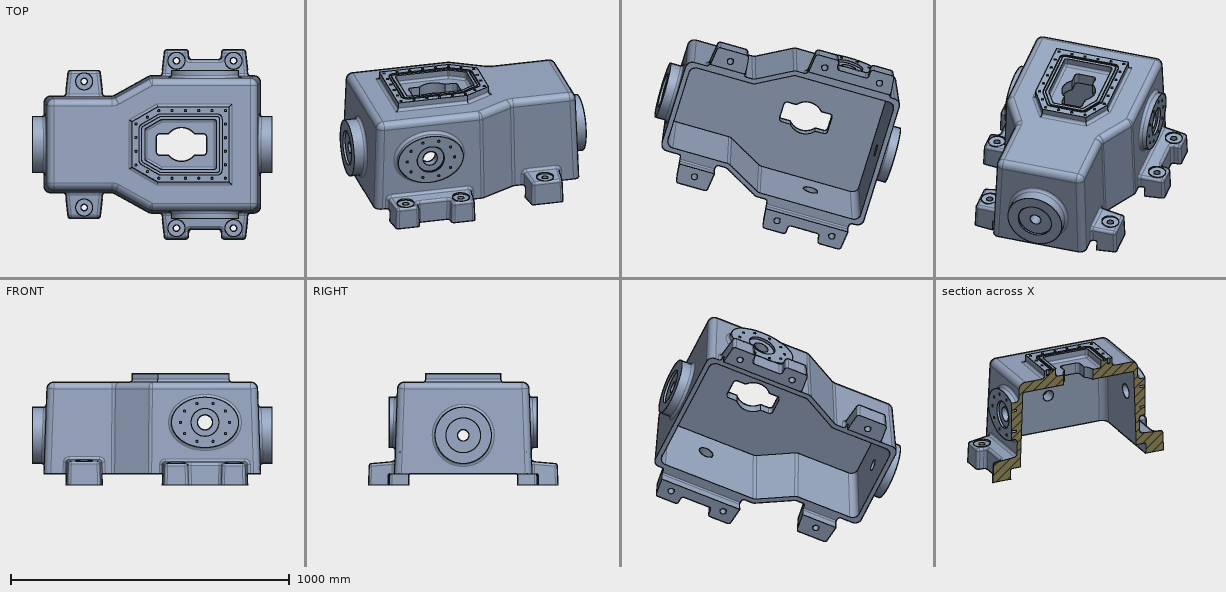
import cadquery as cq
import math


DRAFT = 2.0
SMALL_FILLET = 10.0
BODY_FILLET = 25.0

SEAM_BOX = (9, 9, 9)

FOOT_HEIGHT = 40.0
BODY_TOP = 370.0
BODY_HALF_LENGTH = 389.0
WALL = 17.0
ROOF = 40.0
WIDE_HALF = 247.0
NARROW_HALF = 174.0
SHOULDER_X = -9.0
SHOULDER_ANGLE = math.radians(29)

END_BOSS_REACH = 430.0
END_BOSS_Z = 179.0
END_BOSS_DIAMETER = 202.0
END_RECESS_DIAMETER = 125.0
END_RECESS_DEPTH = 9.0
END_BORE_DIAMETER = 40.0

SIDE_PAD_X = 189.0
SIDE_PAD_Z = 225.0
SIDE_PAD_REACH = 266.0
SIDE_PAD_LENGTH = 241.0
SIDE_PAD_HEIGHT = 181.0
SIDE_RECESS_DIAMETER = 100.0
SIDE_RECESS_DEPTH = 9.0
SIDE_BORE_DIAMETER = 53.0
SIDE_BOLT_OFFSETS = [(88.0, 0), (73.0, 40.0), (29.0, 68.0)]

COVER_TOP = 400.0
COVER_LEFT = -72.0
COVER_RIGHT = 276.0
COVER_HALF_WIDTH = 135.0
COVER_SHOULDER_X = 20.0
COVER_SHOULDER_ANGLE = math.radians(30)
POCKET_INSET = 46.0
POCKET_DEPTH = COVER_TOP - BODY_TOP
POCKET_FILLET = 9.0
GROOVE_INSET = 25.0
GROOVE_WIDTH = 9.5
GROOVE_DEPTH = 5.0
GROOVE_CORNER = 20.0
COVER_BOLT_INSET = 14.0
COVER_BOLT_GAPS = (2, 5, 5, 5, 2, 3)
BOLT_DIAMETER = 8.0
BOLT_DEPTH = 20.0

OPENING_X = 105.0
OPENING_LENGTH = 180.0
OPENING_WIDTH = 76.5
OPENING_CORNER = 12.0
OPENING_DIAMETER = 120.0

FOOT_GAP = 21.5
UNDERCUT_FILLET = 5.0
FOOT_SIDE_SLOPE = math.tan(math.radians(6.5))
FOOT_TOP_SLOPE = math.tan(math.radians(5))
FOOT_BOLT_DIAMETER = 22.0
SPOTFACE_DIAMETER = 61.0
SPOTFACE_DROP = 8.0
SINGLE_FOOT_X = -244.0
SINGLE_FOOT_HALF = 58.0
SINGLE_FOOT_REACH = 266.0
SINGLE_FOOT_TOP = 93.0
SINGLE_BOLT_Y = 226.0
DOUBLE_FOOT_X = 189.0
DOUBLE_FOOT_HALF = 145.0
DOUBLE_FOOT_REACH = 680.0 / 2
DOUBLE_FOOT_TOP = 85.0
DOUBLE_BOLT_Y = 300.0
DOUBLE_BOLT_SPREAD = 102.0
NOTCH_END_HALF = 60.0
NOTCH_FLOOR_HALF = 58.0
NOTCH_Y = 305.0


def mirrored_outline(half_outline):
    """Close a half outline over the X axis; its points run from -X to +X on the +Y side."""
    return half_outline + [(x, -y) for x, y in reversed(half_outline)]


def body_outline(inset):
    """Plan outline of the body with every side moved inwards by the inset."""
    corner_shift = inset * math.tan(SHOULDER_ANGLE / 2)
    shoulder_run = (WIDE_HALF - NARROW_HALF) / math.tan(SHOULDER_ANGLE)
    return mirrored_outline([
        (-BODY_HALF_LENGTH + inset, NARROW_HALF - inset),
        (SHOULDER_X - shoulder_run + corner_shift, NARROW_HALF - inset),
        (SHOULDER_X + corner_shift, WIDE_HALF - inset),
        (BODY_HALF_LENGTH - inset, WIDE_HALF - inset),
    ])


def drafted_block(wall_inset, top_z):
    """Block with the body's drafted sides moved inwards, from the body's underside to a top."""
    height = top_z - FOOT_HEIGHT
    top_inset = wall_inset + height * math.tan(math.radians(DRAFT))
    return (
        cq.Workplane("XY", origin=(0, 0, FOOT_HEIGHT))
        .polyline(body_outline(wall_inset))
        .close()
        .workplane(offset=height)
        .polyline(body_outline(top_inset))
        .close()
        .loft(ruled=True)
    )


def make_body():
    """Drafted housing: a wide part, two slanted shoulders and a narrower part."""
    return drafted_block(0, BODY_TOP).edges(">Z or (not #Z)").fillet(BODY_FILLET)


def make_cavity():
    """Hollow under the roof, open at the underside of the body."""
    return drafted_block(WALL, BODY_TOP - ROOF).edges("not #Z").fillet(BODY_FILLET)


def cover_outline(inset):
    """Plan outline of the cover pad with every side moved inwards by the inset."""
    shoulder_run = COVER_SHOULDER_X - COVER_LEFT
    left_half = COVER_HALF_WIDTH - shoulder_run * math.tan(COVER_SHOULDER_ANGLE)
    upper_shift = inset * math.tan(COVER_SHOULDER_ANGLE / 2)
    lower_shift = inset * math.tan((math.pi / 2 - COVER_SHOULDER_ANGLE) / 2)
    return mirrored_outline([
        (COVER_LEFT + inset, left_half - lower_shift),
        (COVER_SHOULDER_X + upper_shift, COVER_HALF_WIDTH - inset),
        (COVER_RIGHT - inset, COVER_HALF_WIDTH - inset),
    ])


def cover_prism(inset, bottom_z, height):
    """Upright prism on the inset cover outline."""
    return (
        cq.Workplane("XY", origin=(0, 0, bottom_z))
        .polyline(cover_outline(inset))
        .close()
        .extrude(height)
    )


def notch_outline(growth):
    """Plan outline of the notch, open past the foot's end, with every side moved outwards."""
    open_y = DOUBLE_FOOT_REACH + 9
    return [
        (-NOTCH_END_HALF - growth, open_y),
        (-NOTCH_FLOOR_HALF - growth, NOTCH_Y - growth),
        (NOTCH_FLOOR_HALF + growth, NOTCH_Y - growth),
        (NOTCH_END_HALF + growth, open_y),
    ]


def make_notch():
    """Drafted notch that splits the end of a double foot into two lugs."""
    height = BODY_TOP / 2
    notch = (
        cq.Workplane("XY", origin=(DOUBLE_FOOT_X, 0, 0))
        .polyline(notch_outline(0))
        .close()
        .workplane(offset=height)
        .polyline(notch_outline(height * math.tan(math.radians(DRAFT))))
        .close()
        .loft(ruled=True)
    )
    return notch.faces("<Y").edges("not #Z").fillet(SMALL_FILLET)


def make_foot(center_x, end_half, reach, wall_y, top_at_wall, notched):
    """Foot on the +Y side, running from inside the body out to its free end."""
    root_y = wall_y - BODY_FILLET
    root_half = end_half + (reach - root_y) * FOOT_SIDE_SLOPE
    outline = [(root_half, root_y), (end_half, reach), (-end_half, reach), (-root_half, root_y)]
    foot = (
        cq.Workplane("XY", origin=(center_x, 0, 0))
        .polyline(outline)
        .close()
        .extrude(BODY_TOP / 2, taper=DRAFT)
    )
    sloped_profile = [
        (0, 0),
        (reach, 0),
        (reach, top_at_wall - (reach - wall_y) * FOOT_TOP_SLOPE),
        (0, top_at_wall + wall_y * FOOT_TOP_SLOPE),
    ]
    sloped_envelope = (
        cq.Workplane("YZ", origin=(center_x, 0, 0))
        .polyline(sloped_profile)
        .close()
        .extrude(root_half, both=True)
    )
    foot = foot.intersect(sloped_envelope)
    if notched:
        foot = foot.cut(make_notch())
    end_corners = cq.selectors.BoxSelector(
        (-END_BOSS_REACH, reach - 9, 9), (END_BOSS_REACH, reach + 9, BODY_TOP)
    )
    rounded_edges = foot.edges(end_corners).edges("not #Z").add(foot.faces(">Z").edges())
    foot = rounded_edges.fillet(SMALL_FILLET)
    undercut = (
        cq.Workplane("XY", origin=(center_x, 0, 0))
        .rect(3 * root_half, 2 * (wall_y + FOOT_GAP))
        .extrude(FOOT_HEIGHT)
        .edges("|X and >Z")
        .fillet(UNDERCUT_FILLET)
    )
    return foot.cut(undercut)


def make_end_bosses():
    """One long cylinder that forms the bosses on both ends."""
    return (
        cq.Workplane("YZ", origin=(0, 0, END_BOSS_Z))
        .circle(END_BOSS_DIAMETER / 2)
        .extrude(END_BOSS_REACH, both=True)
    )


def make_side_pads():
    """One long oval prism that forms the pads on both sides."""
    return (
        cq.Workplane("XZ", origin=(SIDE_PAD_X, 0, SIDE_PAD_Z))
        .ellipse(SIDE_PAD_LENGTH / 2, SIDE_PAD_HEIGHT / 2)
        .extrude(SIDE_PAD_REACH, both=True)
    )


def blend_seam(part, center, size):
    """Round the edges whose midpoints lie in a box of the given centre and size."""
    low = tuple(c - s / 2 for c, s in zip(center, size))
    high = tuple(c + s / 2 for c, s in zip(center, size))
    return part.edges(cq.selectors.BoxSelector(low, high)).fillet(SMALL_FILLET)


def blend_all_seams(part):
    """Round every seam between the body and the parts standing on it."""
    for side in (-1, 1):
        for center_x, end_half, wall_y, top_at_wall in (
            (SINGLE_FOOT_X, SINGLE_FOOT_HALF, NARROW_HALF, SINGLE_FOOT_TOP),
            (DOUBLE_FOOT_X, DOUBLE_FOOT_HALF, WIDE_HALF, DOUBLE_FOOT_TOP),
        ):
            center = (center_x, side * wall_y, top_at_wall)
            part = blend_seam(part, center, (2.4 * end_half, 9, top_at_wall))
        part = blend_seam(part, (side * (BODY_HALF_LENGTH - 5.0), 0, END_BOSS_Z), SEAM_BOX)
        part = blend_seam(part, (SIDE_PAD_X, side * (WIDE_HALF - 6.0), SIDE_PAD_Z), SEAM_BOX)
    cover_center = ((COVER_LEFT + COVER_RIGHT) / 2, 0, BODY_TOP)
    cover_size = (COVER_RIGHT - COVER_LEFT + 1.0, 2 * COVER_HALF_WIDTH + 1.0, 1.0)
    return blend_seam(part, cover_center, cover_size)


def holes_at(plane, points, diameter, depth):
    """Cylinders starting at the points and running along the plane normal."""
    holes = [
        cq.Workplane(plane, origin=point).circle(diameter / 2).extrude(depth).val()
        for point in points
    ]
    return cq.Workplane(obj=cq.Compound.makeCompound(holes))


def bored_ends():
    """Through bore along X with a shallow recess in each end boss."""
    bore = holes_at("YZ", [(-END_BOSS_REACH, 0, END_BOSS_Z)], END_BORE_DIAMETER, 2 * END_BOSS_REACH)
    starts = [
        (-END_BOSS_REACH, 0, END_BOSS_Z),
        (END_BOSS_REACH - END_RECESS_DEPTH, 0, END_BOSS_Z),
    ]
    return bore.union(holes_at("YZ", starts, END_RECESS_DIAMETER, END_RECESS_DEPTH))


def bored_sides():
    """Through bore along Y with a recess and a ring of bolt holes in each side pad."""
    reach = SIDE_PAD_REACH
    bore = holes_at("XZ", [(SIDE_PAD_X, reach, SIDE_PAD_Z)], SIDE_BORE_DIAMETER, 2 * reach)
    recess_starts = [(SIDE_PAD_X, y, SIDE_PAD_Z) for y in (reach, SIDE_RECESS_DEPTH - reach)]
    cuts = bore.union(holes_at("XZ", recess_starts, SIDE_RECESS_DIAMETER, SIDE_RECESS_DEPTH))
    bolt_places = {
        (SIDE_PAD_X + sx * dx, SIDE_PAD_Z + sz * dz)
        for dx, dz in SIDE_BOLT_OFFSETS
        for sx in (-1, 1)
        for sz in (-1, 1)
    }
    bolt_starts = [(x, y, z) for x, z in bolt_places for y in (reach, BOLT_DEPTH - reach)]
    return cuts.union(holes_at("XZ", bolt_starts, BOLT_DIAMETER, BOLT_DEPTH))


def cover_recess():
    """Pocket, seal groove and floor opening inside the cover pad."""
    pocket = (
        cover_prism(POCKET_INSET, COVER_TOP - POCKET_DEPTH, POCKET_DEPTH)
        .edges("|Z or <Z")
        .fillet(POCKET_FILLET)
    )
    groove_bottom = COVER_TOP - GROOVE_DEPTH
    groove_outer = cover_prism(GROOVE_INSET, groove_bottom, GROOVE_DEPTH).edges("|Z").fillet(GROOVE_CORNER)
    groove_inner = (
        cover_prism(GROOVE_INSET + GROOVE_WIDTH, groove_bottom, GROOVE_DEPTH)
        .edges("|Z")
        .fillet(GROOVE_CORNER - GROOVE_WIDTH)
    )
    slot = (
        cq.Workplane("XY", origin=(OPENING_X, 0, 0))
        .rect(OPENING_LENGTH, OPENING_WIDTH)
        .extrude(COVER_TOP)
        .edges("|Z")
        .fillet(OPENING_CORNER)
    )
    round_opening = holes_at("XY", [(OPENING_X, 0, 0)], OPENING_DIAMETER, COVER_TOP)
    return pocket.union(groove_outer.cut(groove_inner)).union(slot).union(round_opening)


def evenly_spread(start, end, gaps):
    """Places that split a straight run into equal gaps, leaving out the run's end."""
    return [
        tuple(a + (b - a) * step / gaps for a, b in zip(start, end)) for step in range(gaps)
    ]


def cover_bolts():
    """Bolt holes evenly spread along the straight runs of the cover rim."""
    corners = cover_outline(COVER_BOLT_INSET)
    places = []
    for index, gaps in enumerate(COVER_BOLT_GAPS):
        next_corner = corners[(index + 1) % len(corners)]
        places += evenly_spread(corners[index], next_corner, gaps)
    starts = [(x, y, COVER_TOP - BOLT_DEPTH) for x, y in places]
    return holes_at("XY", starts, BOLT_DIAMETER, BOLT_DEPTH)


def foot_holes():
    """Bolt holes through the feet, each with a level spot face."""
    cuts = cq.Workplane("XY")
    for x, y, top_at_wall in (
        (SINGLE_FOOT_X, SINGLE_BOLT_Y, SINGLE_FOOT_TOP),
        (DOUBLE_FOOT_X - DOUBLE_BOLT_SPREAD, DOUBLE_BOLT_Y, DOUBLE_FOOT_TOP),
        (DOUBLE_FOOT_X + DOUBLE_BOLT_SPREAD, DOUBLE_BOLT_Y, DOUBLE_FOOT_TOP),
    ):
        spot_z = top_at_wall - SPOTFACE_DROP
        cuts = cuts.add(holes_at("XY", [(x, y, 0), (x, -y, 0)], FOOT_BOLT_DIAMETER, top_at_wall))
        spot_starts = [(x, y, spot_z), (x, -y, spot_z)]
        cuts = cuts.add(holes_at("XY", spot_starts, SPOTFACE_DIAMETER, SPOTFACE_DROP))
    return cuts.combine()


casting = make_body()
for foot in (
    make_foot(SINGLE_FOOT_X, SINGLE_FOOT_HALF, SINGLE_FOOT_REACH, NARROW_HALF, SINGLE_FOOT_TOP, False),
    make_foot(DOUBLE_FOOT_X, DOUBLE_FOOT_HALF, DOUBLE_FOOT_REACH, WIDE_HALF, DOUBLE_FOOT_TOP, True),
):
    casting = casting.union(foot).union(foot.mirror("XZ"))
casting = casting.union(make_end_bosses()).union(make_side_pads())
casting = casting.union(cover_prism(0, BODY_TOP, COVER_TOP - BODY_TOP))
casting = blend_all_seams(casting).cut(make_cavity())

result = casting.cut(bored_ends()).cut(bored_sides()).cut(cover_recess()).cut(cover_bolts()).cut(foot_holes())